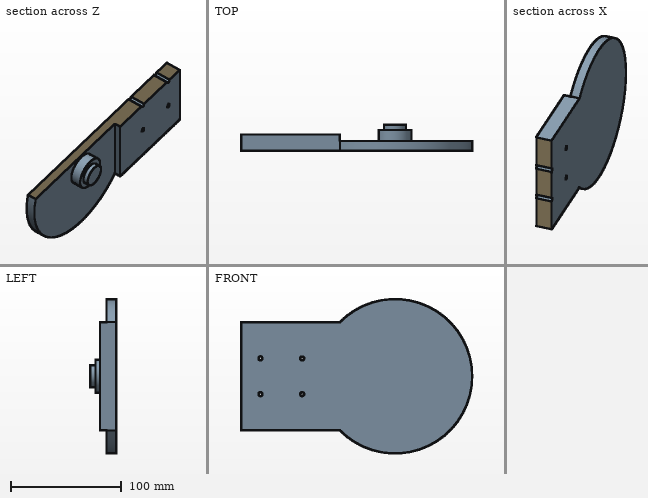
import cadquery as cq
import math

length = 209.2
disc_diameter = 140.0
disc_thickness = 9.0
block_height = 97.9
block_thickness = 15.0

hub_diameter = 30.0
hub_top = 19.0
spigot_diameter = 20.0
spigot_top = 23.8

hole_diameter = 3.3
hole_spacing_x = 37.9
hole_spacing_z = 32.5
first_hole_x = 17.4

disc_radius = disc_diameter / 2
disc_center_x = length - disc_radius
block_length = disc_center_x - math.sqrt(disc_radius**2 - (block_height / 2) ** 2)


def disc_axis_cylinder(diameter, top):
    """Cylinder on the disc axis from the front face back to y = top."""
    return cq.Workplane("XZ").center(disc_center_x, 0).circle(diameter / 2).extrude(-top)


block = cq.Workplane("XY").box(
    block_length, block_thickness, block_height, centered=(False, False, True)
)

holes = (
    cq.Workplane("XZ")
    .center(first_hole_x + hole_spacing_x / 2, 0)
    .rarray(hole_spacing_x, hole_spacing_z, 2, 2)
    .circle(hole_diameter / 2)
    .extrude(-block_thickness)
)

result = (
    block
    .union(disc_axis_cylinder(disc_diameter, disc_thickness))
    .union(disc_axis_cylinder(hub_diameter, hub_top))
    .union(disc_axis_cylinder(spigot_diameter, spigot_top))
    .cut(holes)
)